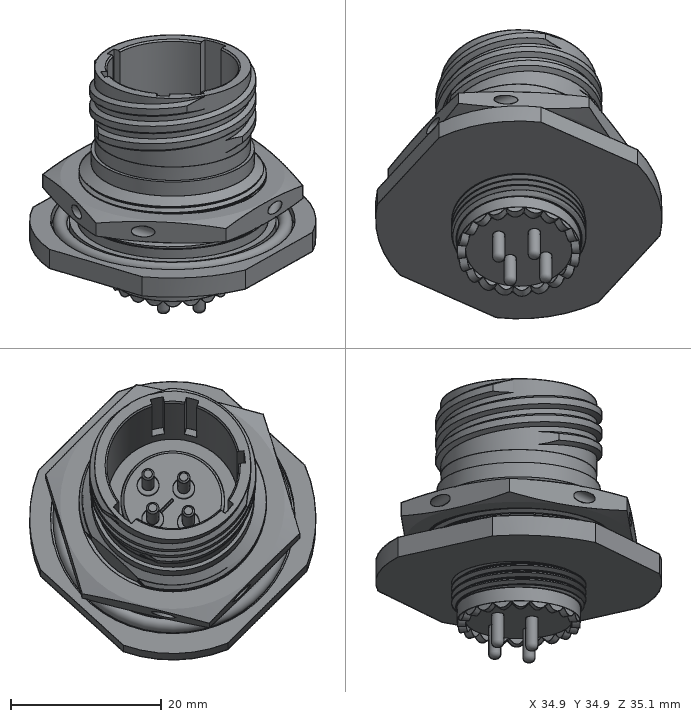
import cadquery as cq
import math


FLANGE_SIZE = 34.92
FLANGE_CORNER_RADIUS = 19.05
FLANGE_THICKNESS = 2.79
RING_CENTRE_RADIUS = 15.03
RING_SECTION_RADIUS = 0.9
RING_TOP = 3.2
RING_SEAT = 0.02
RING_GROOVE_OUTER_RADIUS = 16.26
RING_GROOVE_INNER_RADIUS = 13.75

TOTAL_TOP = 25.1
SHOULDER_RADIUS = 12.72
SHOULDER_TOP = 4.13
PANEL_THREAD_RADIUS = 12.46
PANEL_THREAD_CONE_BASE = 10.1
COLLAR_RADIUS = 10.87
COLLAR_BASE = 11.08
COLLAR_TOP = 13.14
LOWER_BARREL_RADIUS = 10.36
LOWER_BARREL_TOP = 15.1
BARREL_RADIUS = 10.4
PANEL_FLAT_Y = 11.16

GROOVE_CLEARANCE = 0.12

PANEL_PITCH = 1.0
PANEL_GROOVE_WIDTH = 0.92
PANEL_GROOVE_FLOOR = 0.15
PANEL_GROOVE_DEPTH = 0.52
PANEL_GROOVE_START_Z = 4.52
PANEL_GROOVE_START_ANGLE = 180
PANEL_GROOVE_SWEEP = 6 * 360 + 26

COUPLING_STARTS = 3
COUPLING_LEAD = 7.62
COUPLING_SWEEP = 341
COUPLING_START_Z = 16.85
COUPLING_START_ANGLE = 229
COUPLING_CREST_RADIUS = 11.07
COUPLING_ROOT_WIDTH = 1.8
COUPLING_CREST_WIDTH = 0.95
COUPLING_RAMP_ANGLE = 14
ROOT_OVERLAP = 0.15
RAMP_CUT_OVERRUN = 1.2
RAMP_CUT_RADIUS = 12.5

REAR_RADIUS = 8.22
REAR_BOTTOM = -6.25
REAR_THREAD_RADIUS = 8.95
REAR_THREAD_BOTTOM = -3.55
REAR_THREAD_CHAMFER = 0.6
REAR_PITCH = 1.0
REAR_GROOVE_WIDTH = 0.82
REAR_GROOVE_FLOOR = 0.1
REAR_GROOVE_DEPTH = 0.62
REAR_GROOVE_START_Z = -4.23
REAR_GROOVE_START_ANGLE = 185
REAR_GROOVE_SWEEP = 5 * 360

TOOTH_COUNT = 20
RIM_RADIUS = 8.17
TOOTH_HEIGHT = 0.8
TOOTH_FLANK_HEIGHT = 0.5
RIM_THICKNESS = 1.1

NUT_ACROSS_FLATS = 30.15
NUT_BOTTOM = 6.1
NUT_TOP = 9.2
NUT_BORE_RADIUS = 11.92
NUT_BORE_CHAMFER = 0.58
NUT_FACE_RADIUS = 14.94
NUT_CORNER_DROP = 0.61
WIRE_HOLE_DIAMETER = 1.58
WIRE_HOLE_OFFSET = 14.25
WIRE_HOLE_CORNERS = (-90, 30, 150)

BORE_RADIUS = 8.77
BORE_FLOOR = 9.5
BORE_CHAMFER = 0.23
KEYWAY_FLOOR = 12.0
KEYWAYS = (
    (90, 3.36, 9.78),
    (185, 1.7, 9.67),
    (231, 1.7, 9.67),
    (298, 1.7, 9.67),
    (326.4, 1.7, 9.67),
)

INSERT_RADIUS = 6.9
INSERT_CHAMFER = 0.38
INSERT_FACE = 10.5
INSERT_SLOT_WIDTH = 0.3
INSERT_SLOT_DEPTH = 0.3
PIN_RADIUS = 0.82
PIN_TIP_FILLET = 0.65
PIN_TOP_CHAMFER = 0.25
PIN_TOP = 15.5
PIN_BOTTOM = -10.0
PIN_PATTERN_Y = 0.87
PIN_HALF_SPAN_X = 3.72
PIN_HALF_SPAN_Y = 2.98
PIN_COLLAR_RADIUS = 1.45
PIN_COLLAR_HEIGHT = 0.3
PIN_COLLAR_FILLET = 0.1


def cylinder(radius, bottom, top):
    return cq.Workplane("XY", origin=(0, 0, bottom)).circle(radius).extrude(top - bottom)


def tube(outer_radius, inner_radius, bottom, top):
    section = cq.Workplane("XY", origin=(0, 0, bottom)).circle(outer_radius).circle(inner_radius)
    return section.extrude(top - bottom)


def revolved(outline):
    """Solid of revolution about Z from a closed (radius, z) outline."""
    return cq.Workplane("XZ").polyline(outline).close().revolve(360, (0, 0, 0), (0, 1, 0))


def helical_solid(profile, lead, sweep, start_z, start_angle):
    """Solid swept by a closed (radius, axial offset) profile along a right-hand helix."""
    height = lead * sweep / 360
    helices = [
        cq.Wire.makeHelix(lead, height, radius, cq.Vector(0, 0, offset)) for radius, offset in profile
    ]
    faces = [
        cq.Face.makeRuledSurface(helix, helices[(index + 1) % len(helices)])
        for index, helix in enumerate(helices)
    ]
    for turn, rise in ((0, 0), (math.radians(sweep), height)):
        corners = [
            cq.Vector(radius * math.cos(turn), radius * math.sin(turn), offset + rise)
            for radius, offset in profile
        ]
        faces.append(cq.Face.makeFromWires(cq.Wire.makePolygon(corners, close=True)))
    solid = cq.Solid.makeSolid(cq.Shell.makeShell(faces))
    solid = cq.Workplane(solid.fix())
    return solid.rotate((0, 0, 0), (0, 0, 1), start_angle).translate((0, 0, start_z))


def groove_profile(thread_radius, depth, mouth_width, floor_width):
    """V groove with a narrow floor and a straight-sided mouth standing outside the thread."""
    floor_radius = thread_radius - depth
    outer_radius = thread_radius + GROOVE_CLEARANCE
    return [
        (floor_radius, -floor_width / 2),
        (thread_radius, -mouth_width / 2),
        (outer_radius, -mouth_width / 2),
        (outer_radius, mouth_width / 2),
        (thread_radius, mouth_width / 2),
        (floor_radius, floor_width / 2),
    ]


def ridge_profile(root_radius, crest_radius, root_width, crest_width):
    """Trapezoidal ridge whose root is sunk slightly below the surface it stands on."""
    buried_radius = root_radius - ROOT_OVERLAP
    return [
        (buried_radius, -root_width / 2),
        (root_radius, -root_width / 2),
        (crest_radius, -crest_width / 2),
        (crest_radius, crest_width / 2),
        (root_radius, root_width / 2),
        (buried_radius, root_width / 2),
    ]


def make_flange():
    groove_floor = RING_TOP - 2 * RING_SECTION_RADIUS
    flange = cq.Workplane("XY").rect(FLANGE_SIZE, FLANGE_SIZE).extrude(FLANGE_THICKNESS)
    flange = flange.intersect(cylinder(FLANGE_CORNER_RADIUS, 0, FLANGE_THICKNESS))
    flange = flange.cut(
        tube(RING_GROOVE_OUTER_RADIUS, RING_GROOVE_INNER_RADIUS, groove_floor, FLANGE_THICKNESS)
    )
    ring = cq.Workplane(
        cq.Solid.makeTorus(
            RING_CENTRE_RADIUS,
            RING_SECTION_RADIUS + RING_SEAT,
            cq.Vector(0, 0, RING_TOP - RING_SECTION_RADIUS - RING_SEAT),
        )
    )
    return flange.union(ring)


def make_shell():
    outline = [
        (0, 0),
        (SHOULDER_RADIUS, 0),
        (SHOULDER_RADIUS, SHOULDER_TOP),
        (PANEL_THREAD_RADIUS, SHOULDER_TOP),
        (PANEL_THREAD_RADIUS, PANEL_THREAD_CONE_BASE),
        (COLLAR_RADIUS, COLLAR_BASE),
        (COLLAR_RADIUS, COLLAR_TOP),
        (LOWER_BARREL_RADIUS, COLLAR_TOP),
        (LOWER_BARREL_RADIUS, LOWER_BARREL_TOP),
        (BARREL_RADIUS, LOWER_BARREL_TOP),
        (BARREL_RADIUS, TOTAL_TOP),
        (0, TOTAL_TOP),
    ]
    shell = revolved(outline)
    profile = groove_profile(
        PANEL_THREAD_RADIUS, PANEL_GROOVE_DEPTH, PANEL_GROOVE_WIDTH, PANEL_GROOVE_FLOOR
    )
    groove = helical_solid(
        profile, PANEL_PITCH, PANEL_GROOVE_SWEEP, PANEL_GROOVE_START_Z, PANEL_GROOVE_START_ANGLE
    )
    shell = shell.cut(groove)
    flat_height = COLLAR_BASE - FLANGE_THICKNESS
    flat_depth = SHOULDER_RADIUS
    flat = cq.Workplane("XY", origin=(0, PANEL_FLAT_Y + flat_depth / 2, FLANGE_THICKNESS))
    return shell.cut(flat.rect(2 * SHOULDER_RADIUS, flat_depth).extrude(flat_height))


def make_coupling_start():
    """One start of the coupling thread, beginning at angle 0 and Z = 0, with ramped ends."""
    profile = ridge_profile(
        BARREL_RADIUS, COUPLING_CREST_RADIUS, COUPLING_ROOT_WIDTH, COUPLING_CREST_WIDTH
    )
    ridge = helical_solid(profile, COUPLING_LEAD, COUPLING_SWEEP, 0, 0)
    ramp_angle = math.radians(COUPLING_RAMP_ANGLE)
    ramp_x = COUPLING_CREST_RADIUS * math.cos(ramp_angle) - BARREL_RADIUS
    ramp_y = COUPLING_CREST_RADIUS * math.sin(ramp_angle)
    outline = [
        (BARREL_RADIUS, 0),
        (BARREL_RADIUS + RAMP_CUT_OVERRUN * ramp_x, RAMP_CUT_OVERRUN * ramp_y),
        (RAMP_CUT_RADIUS, 0),
    ]
    start_cut = cq.Workplane("XY").polyline(outline).close().extrude(COUPLING_LEAD / 2, both=True)
    rise = COUPLING_LEAD * COUPLING_SWEEP / 360
    end_cut = start_cut.mirror("XZ").rotate((0, 0, 0), (0, 0, 1), COUPLING_SWEEP)
    return ridge.cut(start_cut).cut(end_cut.translate((0, 0, rise)))


def make_coupling_thread():
    start = make_coupling_start().translate((0, 0, COUPLING_START_Z))
    angles = [COUPLING_START_ANGLE + index * 360 / COUPLING_STARTS for index in range(COUPLING_STARTS)]
    return [start.rotate((0, 0, 0), (0, 0, 1), angle) for angle in angles]


def make_rear_body():
    thread = cylinder(REAR_THREAD_RADIUS, REAR_THREAD_BOTTOM, 0)
    thread = thread.faces("<Z").chamfer(REAR_THREAD_CHAMFER)
    body = cylinder(REAR_RADIUS, REAR_BOTTOM + TOOTH_HEIGHT, 0).union(thread)
    profile = groove_profile(
        REAR_THREAD_RADIUS, REAR_GROOVE_DEPTH, REAR_GROOVE_WIDTH, REAR_GROOVE_FLOOR
    )
    groove = helical_solid(
        profile, REAR_PITCH, REAR_GROOVE_SWEEP, REAR_GROOVE_START_Z, REAR_GROOVE_START_ANGLE
    )
    body = body.cut(groove)
    rim_top = REAR_BOTTOM + TOOTH_HEIGHT
    body = body.union(tube(RIM_RADIUS, RIM_RADIUS - RIM_THICKNESS, REAR_BOTTOM, rim_top), clean=False)
    notch = make_rim_notch()
    for index in range(TOOTH_COUNT):
        angle = (index + 0.5) * 360 / TOOTH_COUNT
        body = body.cut(notch.rotate((0, 0, 0), (0, 0, 1), angle))
    return body


def make_rim_notch():
    """V notch with rounded lips, crossing the rim on the -Y side with room to spare."""
    notch_start = RIM_RADIUS - 2 * RIM_THICKNESS
    notch_length = 3 * RIM_THICKNESS
    half_pitch = RIM_RADIUS * math.sin(math.pi / TOOTH_COUNT)
    apex = REAR_BOTTOM + TOOTH_HEIGHT
    flank = TOOTH_FLANK_HEIGHT
    outline = (
        cq.Workplane("XZ", origin=(0, -notch_start, 0))
        .moveTo(0, apex)
        .lineTo(flank, apex - flank)
        .tangentArcPoint((half_pitch, REAR_BOTTOM), relative=False)
        .lineTo(0, REAR_BOTTOM)
        .close()
    )
    half_notch = outline.extrude(notch_length)
    return half_notch.union(half_notch.mirror("YZ"))


def make_nut():
    corner_radius = NUT_ACROSS_FLATS / 2 / math.cos(math.pi / 6)
    height = NUT_TOP - NUT_BOTTOM
    nut = cq.Workplane("XY", origin=(0, 0, NUT_BOTTOM)).polygon(6, 2 * corner_radius).extrude(height)
    nut = nut.rotate((0, 0, 0), (0, 0, 1), 30)
    envelope = [
        (0, NUT_BOTTOM),
        (NUT_FACE_RADIUS, NUT_BOTTOM),
        (corner_radius, NUT_BOTTOM + NUT_CORNER_DROP),
        (corner_radius, NUT_TOP - NUT_CORNER_DROP),
        (NUT_FACE_RADIUS, NUT_TOP),
        (0, NUT_TOP),
    ]
    nut = nut.intersect(revolved(envelope))
    mouth_radius = NUT_BORE_RADIUS + NUT_BORE_CHAMFER
    bore = [
        (0, NUT_BOTTOM),
        (mouth_radius, NUT_BOTTOM),
        (NUT_BORE_RADIUS, NUT_BOTTOM + NUT_BORE_CHAMFER),
        (NUT_BORE_RADIUS, NUT_TOP - NUT_BORE_CHAMFER),
        (mouth_radius, NUT_TOP),
        (0, NUT_TOP),
    ]
    nut = nut.cut(revolved(bore))
    hole = cq.Workplane("YZ", origin=(0, WIRE_HOLE_OFFSET, (NUT_BOTTOM + NUT_TOP) / 2))
    hole = hole.circle(WIRE_HOLE_DIAMETER / 2).extrude(corner_radius / 2, both=True)
    for corner in WIRE_HOLE_CORNERS:
        nut = nut.cut(hole.rotate((0, 0, 0), (0, 0, 1), corner - 90))
    return nut


def make_socket_cavity():
    cavity = cylinder(BORE_RADIUS, BORE_FLOOR, TOTAL_TOP)
    rim = cq.Workplane(
        cq.Solid.makeCone(
            BORE_RADIUS, BORE_RADIUS + BORE_CHAMFER, BORE_CHAMFER, cq.Vector(0, 0, TOTAL_TOP - BORE_CHAMFER)
        )
    )
    cavity = cavity.union(rim)
    for angle, width, outer_radius in KEYWAYS:
        keyway = cq.Workplane("XY", origin=(0, 0, KEYWAY_FLOOR)).center(outer_radius / 2, 0)
        keyway = keyway.rect(outer_radius, width).extrude(TOTAL_TOP - KEYWAY_FLOOR)
        keyway = keyway.intersect(cylinder(outer_radius, KEYWAY_FLOOR, TOTAL_TOP))
        cavity = cavity.union(keyway.rotate((0, 0, 0), (0, 0, 1), angle))
    return cavity


def make_insert():
    insert = cylinder(INSERT_RADIUS, BORE_FLOOR, INSERT_FACE).faces(">Z").chamfer(INSERT_CHAMFER)
    slot_length = INSERT_RADIUS - INSERT_CHAMFER
    slot = cq.Workplane("XY", origin=(0, slot_length / 2, INSERT_FACE))
    return insert.cut(slot.rect(INSERT_SLOT_WIDTH, slot_length).extrude(-INSERT_SLOT_DEPTH))


def make_contact():
    pin = cylinder(PIN_RADIUS, PIN_BOTTOM, PIN_TOP)
    pin = pin.faces("<Z").edges().fillet(PIN_TIP_FILLET)
    pin = pin.faces(">Z").edges().chamfer(PIN_TOP_CHAMFER)
    collar = cylinder(PIN_COLLAR_RADIUS, BORE_FLOOR, INSERT_FACE + PIN_COLLAR_HEIGHT)
    collar = collar.faces(">Z").edges().fillet(PIN_COLLAR_FILLET)
    return pin.union(collar)


def contact_positions():
    return [
        (PIN_HALF_SPAN_X, PIN_PATTERN_Y),
        (-PIN_HALF_SPAN_X, PIN_PATTERN_Y),
        (0, PIN_PATTERN_Y + PIN_HALF_SPAN_Y),
        (0, PIN_PATTERN_Y - PIN_HALF_SPAN_Y),
    ]


bodies = make_coupling_thread()
bodies += [make_flange(), make_rear_body(), make_nut(), make_insert()]
bodies += [make_contact().translate((x, y, 0)) for x, y in contact_positions()]

result = make_shell().cut(make_socket_cavity())
for body in bodies:
    result = result.union(body, clean=False)